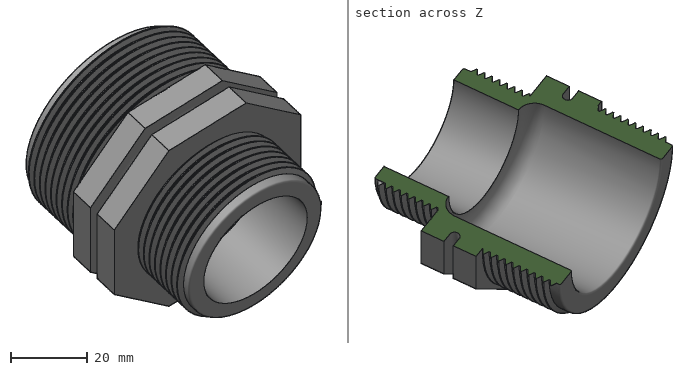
import cadquery as cq
import math

large_end_length = 24.0
octagon_length = 17.0
small_end_length = 20.0
octagon_start = large_end_length
octagon_middle = octagon_start + octagon_length / 2
octagon_end = octagon_start + octagon_length
total_length = octagon_end + small_end_length

octagon_sides = 8
octagon_across_flats = 63.0
groove_width = 2.8
groove_bottom_diameter = 54.2

large_thread_diameter = 59.6
small_thread_diameter = 47.7
thread_depth = 1.45
pitch_count = 11
pitch_count_length = 25.4
thread_pitch = pitch_count_length / pitch_count
thread_flank_angle = 27.5
thread_crest_width = 0.4
thread_end_offset = 2.15
thread_root_overlap = 0.1
large_core_radius = large_thread_diameter / 2 - thread_depth
small_core_radius = small_thread_diameter / 2 - thread_depth
large_thread_turns = 10
small_thread_turns = 9

large_bore_diameter = 44.85
small_bore_diameter = 34.95
shoulder_radius = (large_bore_diameter - small_bore_diameter) / 2
shoulder_position = octagon_end
rim_fillet = 0.55


def rod(radius, start, length):
    """Round bar along +X."""
    return cq.Workplane("YZ", origin=(start, 0, 0)).circle(radius).extrude(length)


def octagon():
    """Regular octagon with flats facing Y and Z."""
    half_side_angle = 180 / octagon_sides
    across_corners = octagon_across_flats / math.cos(math.radians(half_side_angle))
    return (
        cq.Workplane("YZ", origin=(octagon_start, 0, 0))
        .transformed(rotate=(0, 0, half_side_angle))
        .polygon(octagon_sides, across_corners)
        .extrude(octagon_length)
    )


def groove():
    """Ring cut around the middle of the octagon, ending in a half-round bottom."""
    half_width = groove_width / 2
    bottom = groove_bottom_diameter / 2
    outside = octagon_across_flats
    return (
        cq.Workplane("XY")
        .moveTo(octagon_middle - half_width, outside)
        .lineTo(octagon_middle - half_width, bottom + half_width)
        .threePointArc((octagon_middle, bottom), (octagon_middle + half_width, bottom + half_width))
        .lineTo(octagon_middle + half_width, outside)
        .close()
        .revolve(360, (0, 0, 0), (1, 0, 0))
    )


def bore():
    """Through bore, wider from the rounded mouth up to a quarter-round shoulder."""
    wide = large_bore_diameter / 2
    narrow = small_bore_diameter / 2
    mouth_bend = rim_fillet * (1 - math.sqrt(0.5))
    shoulder_bend = shoulder_radius * math.sqrt(0.5)
    return (
        cq.Workplane("XY")
        .lineTo(0, wide + rim_fillet)
        .threePointArc((mouth_bend, wide + mouth_bend), (rim_fillet, wide))
        .lineTo(shoulder_position - shoulder_radius, wide)
        .threePointArc(
            (shoulder_position - shoulder_radius + shoulder_bend, narrow + shoulder_bend),
            (shoulder_position, narrow),
        )
        .lineTo(total_length, narrow)
        .lineTo(total_length, 0)
        .close()
        .revolve(360, (0, 0, 0), (1, 0, 0))
    )


def thread(core_radius, start, turns):
    """Helical ridge around the X axis that begins on the +Y side at the given X."""
    root_radius = core_radius - thread_root_overlap
    crest_radius = core_radius + thread_depth
    half_crest = thread_crest_width / 2
    half_root = half_crest + (crest_radius - root_radius) * math.tan(math.radians(thread_flank_angle))
    path = cq.Wire.makeHelix(thread_pitch, turns * thread_pitch, core_radius)
    ridge = (
        cq.Workplane("XZ")
        .polyline([
            (root_radius, -half_root),
            (crest_radius, -half_crest),
            (crest_radius, half_crest),
            (root_radius, half_root),
        ])
        .close()
        .sweep(cq.Workplane(path), isFrenet=True)
    )
    return ridge.rotate((0, 0, 0), (1, 1, 1), 120).translate((start, 0, 0))


def threaded_end(core, rim, core_radius, thread_start, turns):
    """Round bar with a rounded outer rim and a helical thread."""
    rounded_core = core.faces(rim).edges().fillet(rim_fillet)
    return rounded_core.union(thread(core_radius, thread_start, turns))


large_end = threaded_end(
    rod(large_core_radius, 0, octagon_middle),
    "<X", large_core_radius, thread_end_offset, large_thread_turns,
)
small_thread_start = total_length - thread_end_offset - small_thread_turns * thread_pitch
small_end = threaded_end(
    rod(small_core_radius, octagon_middle, total_length - octagon_middle),
    ">X", small_core_radius, small_thread_start, small_thread_turns,
)

result = octagon().union(large_end).union(small_end).cut(groove()).cut(bore()).solids()